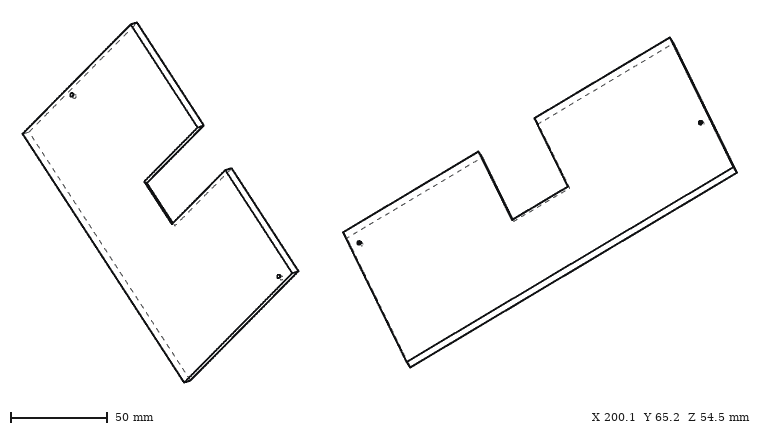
import cadquery as cq
import math

length = 200.1
depth = 65.2
height = 54.5
level_edge_width = 3.6

notch_width = 34.2
notch_depth = 40.6

hole_diameter = 2.0
hole_end_inset = 5.2
right_hole_drop = 7.2
left_hole_drop = 48.0

run = depth - level_edge_width
slope_angle = math.atan2(height, run)
thickness = level_edge_width * math.sin(slope_angle)
cut_depth = 4 * thickness

front = -depth / 2
back = depth / 2
section = [
    (front, -height / 2),
    (front + level_edge_width, -height / 2),
    (back, height / 2),
    (back - level_edge_width, height / 2),
]
plate = cq.Workplane("YZ").polyline(section).close().extrude(length / 2, both=True)

upper_face = cq.Plane(
    origin=(0, back - level_edge_width, height / 2),
    xDir=(1, 0, 0),
    normal=(0, -math.sin(slope_angle), math.cos(slope_angle)),
)

notch = (
    cq.Workplane(upper_face)
    .rect(notch_width, 2 * notch_depth)
    .extrude(cut_depth / 2, both=True)
)

hole_x = length / 2 - hole_end_inset
hole_centers = [(-hole_x, -left_hole_drop), (hole_x, -right_hole_drop)]
holes = (
    cq.Workplane(upper_face)
    .pushPoints(hole_centers)
    .circle(hole_diameter / 2)
    .extrude(cut_depth / 2, both=True)
)

result = plate.cut(notch).cut(holes)